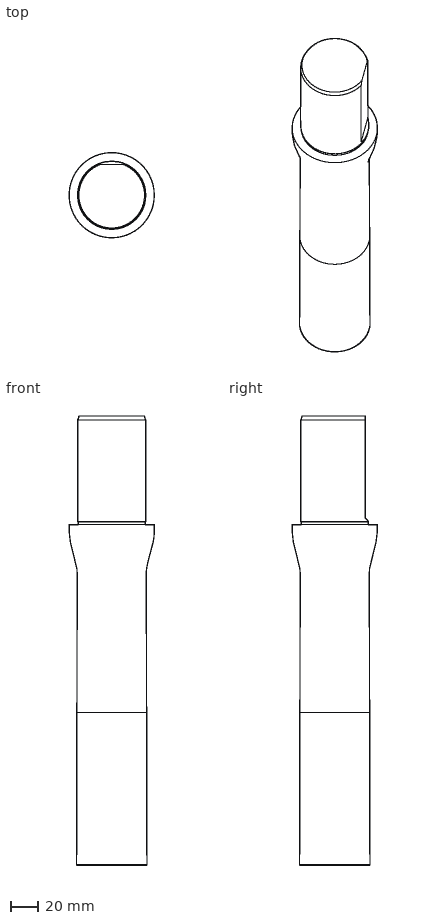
import cadquery as cq

total_length = 329.0
collar_top = 249.5
collar_height = 5.3
collar_bottom = collar_top - collar_height
blend_bottom = 213.0
neck_height = 5.0
neck_bottom = blend_bottom - neck_height
joint_height = 112.0
flare_top = 14.8
bottom_chamfer = 0.5

shank_diameter = 50.0
relief_diameter = 49.5
top_ring_diameter = 49.0
top_face_diameter = 48.0
neck_diameter = 50.7
cutter_diameter = 51.3
flare_diameter = 52.0
collar_diameter = 62.5

relief_height = 2.3
top_ring_drop = 2.0
top_chamfer_drop = 3.0
flat_distance = 22.5
flat_bottom = 254.3
run_out_depth = 3.3
run_out_height = 3.5


def blend_to(profile, start, end):
    """Continue a profile with an S-curve that is parallel to the axis at both ends."""
    third = (end[1] - start[1]) / 3
    controls = [(start[0], start[1] + third), (end[0], end[1] - third), end]
    return profile.bezier(controls, includeCurrent=True)


def revolve_profile(profile):
    """Close a radius-height profile and turn it about the Z axis."""
    return profile.close().revolve(360, (0, 0), (0, 1))


def make_shank_flat():
    """Cutting volume for the flat, with a sloped run-out at its lower end."""
    outer = flat_distance + run_out_depth
    outline = [
        (flat_distance, total_length),
        (flat_distance, flat_bottom),
        (outer, flat_bottom - run_out_height),
        (outer, total_length),
    ]
    return cq.Workplane("YZ").polyline(outline).close().extrude(collar_diameter / 2, both=True)


def make_holder():
    """Shank with its flat, collar and tapering neck."""
    shank_radius = shank_diameter / 2
    relief_radius = relief_diameter / 2
    collar_radius = collar_diameter / 2
    neck_radius = neck_diameter / 2
    joint_radius = cutter_diameter / 2
    relief_step = shank_radius - relief_radius

    profile = (
        cq.Workplane("XZ")
        .moveTo(0, joint_height)
        .lineTo(0, total_length)
        .lineTo(top_face_diameter / 2, total_length)
        .lineTo(top_ring_diameter / 2, total_length - top_ring_drop)
        .lineTo(shank_radius, total_length - top_chamfer_drop)
        .lineTo(shank_radius, collar_top + relief_height)
        .lineTo(relief_radius, collar_top + relief_height - relief_step)
        .lineTo(relief_radius, collar_top)
        .lineTo(collar_radius, collar_top)
        .lineTo(collar_radius, collar_bottom)
    )
    profile = blend_to(profile, (collar_radius, collar_bottom), (neck_radius, blend_bottom))
    profile = profile.lineTo(neck_radius, neck_bottom)
    profile = blend_to(profile, (neck_radius, neck_bottom), (joint_radius, joint_height))
    return revolve_profile(profile).cut(make_shank_flat())


def make_cutter():
    """Cylindrical cutting end that flares slightly towards its bottom edge."""
    cutter_radius = cutter_diameter / 2
    flare_radius = flare_diameter / 2

    profile = (
        cq.Workplane("XZ")
        .moveTo(0, joint_height)
        .lineTo(cutter_radius, joint_height)
        .lineTo(cutter_radius, flare_top)
    )
    profile = blend_to(profile, (cutter_radius, flare_top), (flare_radius, bottom_chamfer))
    profile = profile.lineTo(flare_radius - bottom_chamfer, 0).lineTo(0, 0)
    return revolve_profile(profile)


holder = make_holder()
cutter = make_cutter()
result = cq.Compound.makeCompound([holder.val(), cutter.val()])